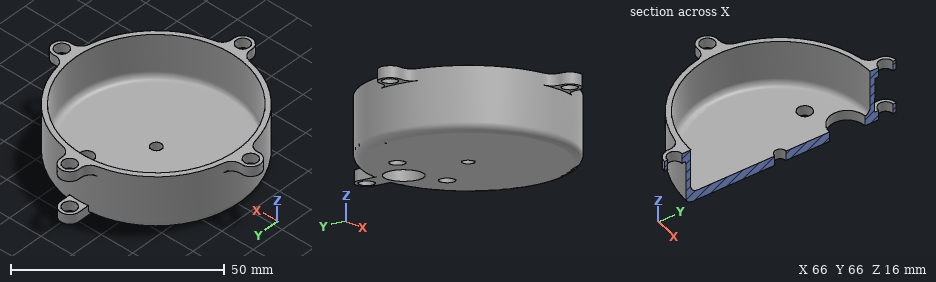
import cadquery as cq
import math

outer_radius = 54.0 / 2
inner_radius = 51.0 / 2
height = 16.0
floor_thickness = 3.0
edge_radius = 2.0

overall_length = 66.0
ear_radius = 3.0
ear_thickness = 3.0
ear_root_radius = 3.0
ear_hole_diameter = 4.0
ear_distance = overall_length / 2 - ear_radius
rim_ear_angles = (0, 90, 180, 270)
floor_ear_angle = 90

center_hole_diameter = 3.2
large_hole_diameter = 10.0
large_hole_y = 19.1
small_hole_diameter = 4.0
small_hole_x = 9.6
small_hole_y = 13.6


def cylinder(radius, length, bottom):
    return cq.Workplane("XY").workplane(offset=bottom).circle(radius).extrude(length)


def floor_hole(x, y, diameter):
    return cylinder(diameter / 2, floor_thickness, 0).translate((x, y, 0))


def ear_hole(angle):
    hole = cylinder(ear_hole_diameter / 2, height, 0)
    return hole.translate((ear_distance, 0, 0)).rotate((0, 0, 0), (0, 0, 1), angle)


def rim_ear(angle):
    """Round-ended ear whose concave roots run tangent into the cup wall."""
    root_y = ear_radius + ear_root_radius
    root_distance = outer_radius + ear_root_radius
    root_x = math.sqrt(root_distance**2 - root_y**2)
    wall_x = root_x * outer_radius / root_distance
    wall_y = root_y * outer_radius / root_distance

    arc_angle = (math.pi + math.atan2(root_y, root_x) + 1.5 * math.pi) / 2
    arc_x = root_x + ear_root_radius * math.cos(arc_angle)
    arc_y = root_y + ear_root_radius * math.sin(arc_angle)

    ear = (
        cq.Workplane("XY")
        .workplane(offset=height - ear_thickness)
        .moveTo(wall_x, wall_y)
        .threePointArc((arc_x, arc_y), (root_x, ear_radius))
        .lineTo(ear_distance, ear_radius)
        .threePointArc((ear_distance + ear_radius, 0), (ear_distance, -ear_radius))
        .lineTo(root_x, -ear_radius)
        .threePointArc((arc_x, -arc_y), (wall_x, -wall_y))
        .threePointArc((outer_radius, 0), (wall_x, wall_y))
        .close()
    )
    wall_middle = (outer_radius + inner_radius) / 2
    overlap = (
        cq.Workplane("XY")
        .workplane(offset=height - ear_thickness)
        .center((wall_middle + ear_distance) / 2, 0)
        .rect(ear_distance - wall_middle, 2 * ear_radius)
        .extrude(ear_thickness)
    )
    return ear.extrude(ear_thickness).union(overlap).rotate((0, 0, 0), (0, 0, 1), angle)


def floor_ear(angle):
    """Straight-sided, round-ended ear level with the underside of the cup."""
    start = inner_radius - edge_radius
    bar = (
        cq.Workplane("XY")
        .center((start + ear_distance) / 2, 0)
        .rect(ear_distance - start, 2 * ear_radius)
        .extrude(ear_thickness)
    )
    tip = cylinder(ear_radius, ear_thickness, 0).translate((ear_distance, 0, 0))
    return bar.union(tip).rotate((0, 0, 0), (0, 0, 1), angle)


result = cylinder(outer_radius, height, 0).faces("<Z").edges().fillet(edge_radius)
for ear_angle in rim_ear_angles:
    result = result.union(rim_ear(ear_angle))
result = result.union(floor_ear(floor_ear_angle))

cavity = cylinder(inner_radius, height - floor_thickness, floor_thickness)
result = result.cut(cavity.faces("<Z").edges().fillet(edge_radius))

for ear_angle in rim_ear_angles:
    result = result.cut(ear_hole(ear_angle))

result = result.cut(floor_hole(0, 0, center_hole_diameter))
large_hole = cylinder(large_hole_diameter / 2, height, 0)
result = result.cut(large_hole.translate((0, large_hole_y, 0)))
for side in (-1, 1):
    result = result.cut(floor_hole(side * small_hole_x, small_hole_y, small_hole_diameter))